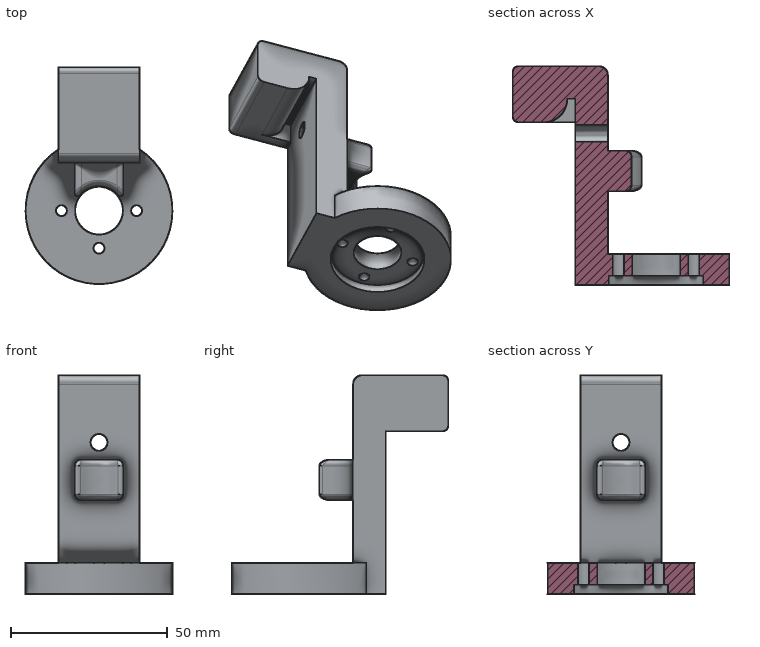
import cadquery as cq

disc_diameter = 47.0
disc_height = 10.0
bore_diameter = 15.2
recess_diameter = 30.0
recess_depth = 3.0
screw_hole_diameter = 3.4
screw_circle_radius = 12.0
screw_count = 4

overall_depth = 69.33
overall_height = 70.0
column_width = 26.0
column_thickness = 10.5
hook_reach = 20.0
hook_height = 18.0
hook_tip_radius = 2.0
front_top_radius = 3.0

slot_width = 2.5
slot_depth = 7.5
slot_end_wall = 3.0

cross_hole_diameter = 5.3
cross_hole_z = 48.5

saddle_width = 15.5
saddle_height = 13.0
saddle_bottom = 30.0
saddle_hollow_radius = 7.8
saddle_rim_radius = 2.0
saddle_tip_radius = 0.95

hook_end_y = overall_depth - disc_diameter / 2
column_back_y = hook_end_y - hook_reach
column_front_y = column_back_y - column_thickness
hook_bottom_z = overall_height - hook_height


def make_disc():
    return cq.Workplane("XY").circle(disc_diameter / 2).extrude(disc_height)


def make_bracket():
    """Column and hook, extruded across the width from one side profile."""
    profile = (
        cq.Workplane("YZ", origin=(-column_width / 2, 0, 0))
        .moveTo(column_front_y, 0)
        .lineTo(column_back_y, 0)
        .lineTo(column_back_y, hook_bottom_z)
        .lineTo(hook_end_y, hook_bottom_z)
        .lineTo(hook_end_y, overall_height)
        .lineTo(column_front_y, overall_height)
        .close()
    )
    bracket = profile.extrude(column_width)
    bracket = bracket.faces(">Y").edges("|X").fillet(hook_tip_radius)
    return bracket.faces("<Y").edges(">Z").fillet(front_top_radius)


def make_slot():
    """Slot volume: flat top, flaring as a quarter circle to the underside of the hook."""
    slot_back_y = column_back_y + slot_width
    slot_top_z = hook_bottom_z + slot_depth
    return (
        cq.Workplane("YZ", origin=(-column_width / 2, 0, 0))
        .moveTo(column_back_y, hook_bottom_z)
        .lineTo(column_back_y, slot_top_z)
        .lineTo(slot_back_y, slot_top_z)
        .radiusArc((slot_back_y + slot_depth, hook_bottom_z), -slot_depth)
        .close()
        .extrude(column_width - slot_end_wall)
    )


def make_saddle():
    """Block with a concave front, its two tips and its top and bottom rims rounded."""
    saddle = (
        cq.Workplane("XY", origin=(0, column_front_y / 2, saddle_bottom))
        .rect(saddle_width, column_front_y)
        .extrude(saddle_height)
    )
    hollow = (
        cq.Workplane("XY", origin=(0, 0, saddle_bottom))
        .circle(saddle_hollow_radius)
        .extrude(saddle_height)
    )
    saddle = saddle.cut(hollow)
    saddle = saddle.edges("|Z and <Y").fillet(saddle_tip_radius)
    rims = saddle.faces("|Z").edges("not(>Y)")
    return rims.fillet(saddle_rim_radius)


def make_bore():
    return cq.Workplane("XY").circle(bore_diameter / 2).extrude(disc_height)


def make_recess():
    """Round recess in the underside of the disc, around the bore and screw holes."""
    return cq.Workplane("XY").circle(recess_diameter / 2).extrude(recess_depth)


def make_screw_holes():
    return (
        cq.Workplane("XY")
        .polarArray(screw_circle_radius, 0, 360, screw_count)
        .circle(screw_hole_diameter / 2)
        .extrude(disc_height)
    )


def make_cross_hole():
    return (
        cq.Workplane("XZ", origin=(0, column_back_y, cross_hole_z))
        .circle(cross_hole_diameter / 2)
        .extrude(column_thickness)
    )


result = make_disc().cut(make_bore()).cut(make_recess()).cut(make_screw_holes())
result = result.union(make_bracket().cut(make_slot()).cut(make_cross_hole()))
result = result.union(make_saddle())